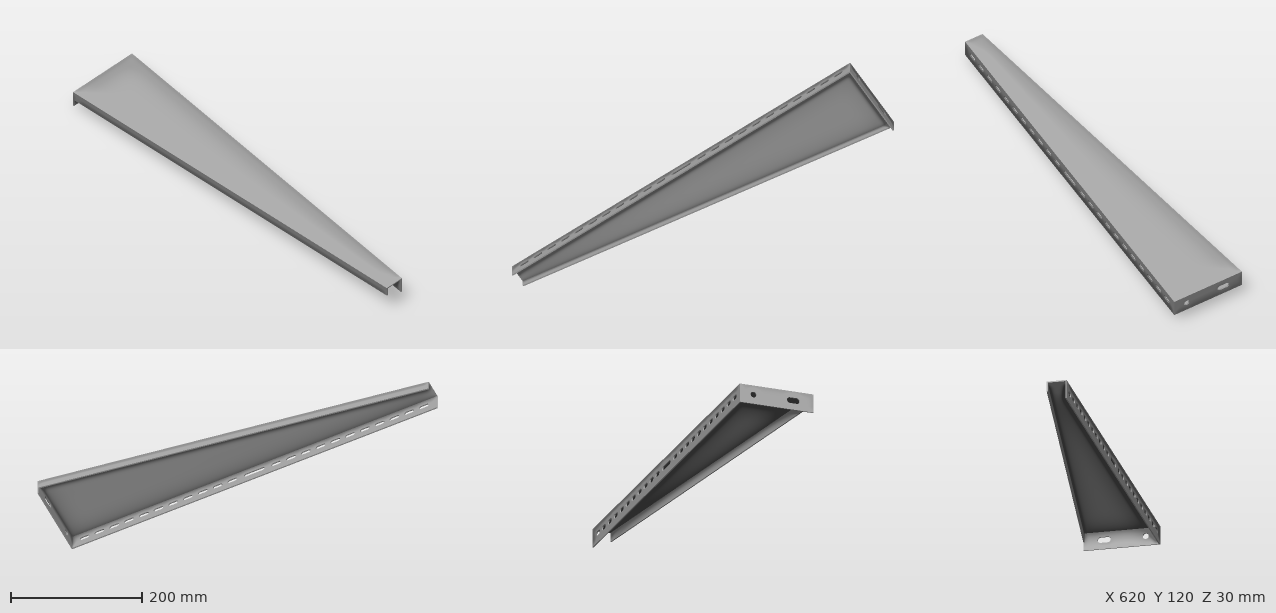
import cadquery as cq

length = 620.0
root_width = 120.0
tip_width = 31.0
height = root_width / 4

sheet = 2.0
front_flange_height = 17.0

mount_diameter = 9.0
mount_slot_length = 20.5
mount_hole_from_back = 22.5
mount_slot_from_back = 87.5

slot_height = 7.0
slot_length = 16.0
slots_per_side = 11
first_slot_from_middle = 37.0
last_slot_from_middle = 287.5
slot_pitch = (last_slot_from_middle - first_slot_from_middle) / (slots_per_side - 1)
middle_slot_length = 35.0

mid_height = -height / 2


def tapered_block(inset):
    """Full-height block below the top face, with its long sides set in and its ends left open."""
    outline = [
        (0, -inset),
        (length, -inset),
        (length, -tip_width + inset),
        (0, -root_width + inset),
    ]
    return cq.Workplane("XY").polyline(outline).close().extrude(-height)


def make_channel():
    """Tapered top plate with a tall back flange and a shorter front flange."""
    outside = tapered_block(0)
    inside = tapered_block(sheet).translate((0, 0, -sheet))
    below_front_flange = tapered_block(sheet).translate((0, -2 * sheet, -front_flange_height))
    return outside.cut(inside).cut(below_front_flange)


def make_root_plate():
    """Full-height plate closing the wide end, its front edge following the taper."""
    end_slice = cq.Workplane("XY").box(sheet, root_width, height, centered=False)
    return tapered_block(0).intersect(end_slice.translate((0, -root_width, -height)))


def cut_mounting_openings(body):
    """Round hole and horizontal slot through the root plate."""
    plane = cq.Workplane("YZ", origin=(0, 0, mid_height))
    hole = plane.center(-mount_hole_from_back, 0).circle(mount_diameter / 2).extrude(sheet)
    slot = plane.center(-mount_slot_from_back, 0).slot2D(mount_slot_length, mount_diameter).extrude(sheet)
    return body.cut(hole).cut(slot)


def cut_back_slots(body):
    """Evenly spaced slots on both sides of a longer middle slot."""
    plane = cq.Workplane("XZ", origin=(length / 2, 0, mid_height))
    offsets = [first_slot_from_middle + i * slot_pitch for i in range(slots_per_side)]
    places = [(side * offset, 0) for side in (-1, 1) for offset in offsets]
    short_slots = plane.pushPoints(places).slot2D(slot_length, slot_height).extrude(sheet)
    middle_slot = plane.slot2D(middle_slot_length, slot_height).extrude(sheet)
    return body.cut(short_slots).cut(middle_slot)


result = make_channel().union(make_root_plate())
result = cut_mounting_openings(result)
result = cut_back_slots(result)